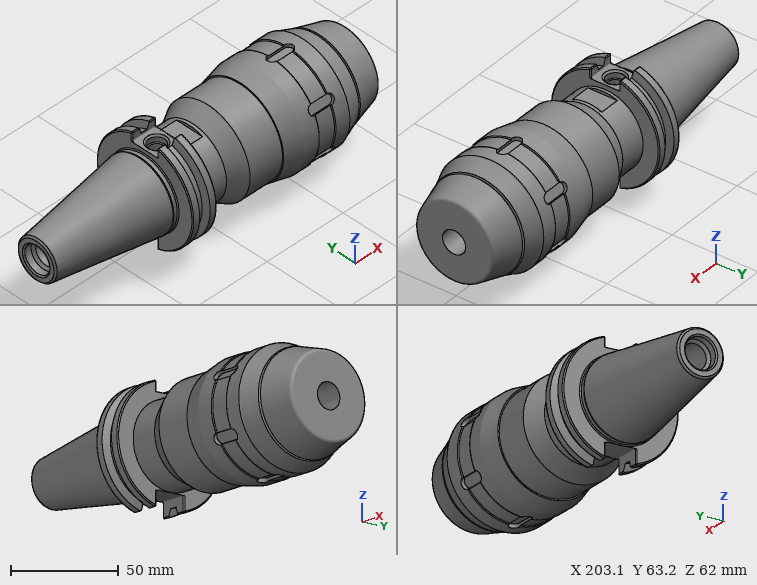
import cadquery as cq
import math

LENGTH = 203.1

TAPER_END_DIAMETER = 25.4
TAPER_END_CHAMFER = 1.0
GAUGE_DIAMETER = 44.5
GAUGE_X = 67.6
RELIEF_DIAMETER = 43.9
RELIEF_CHAMFER = 0.8
RELIEF_FLARE = 0.6

FLANGE_DIAMETER = 63.2
FLANGE_START = 71.3
FLANGE_WIDTH = 15.8
FLANGE_CHAMFER = 0.6
GROOVE_ROOT_DIAMETER = 55.9
GROOVE_ROOT_WIDTH = 3.7
GROOVE_MOUTH_WIDTH = 7.0
FLANGE_END = FLANGE_START + FLANGE_WIDTH
FLANGE_MIDDLE = FLANGE_START + FLANGE_WIDTH / 2

DRIVE_SLOT_WIDTH = 16.5
UPPER_FLOOR_Z = 24.8
LOWER_FLOOR_Z = -22.3
SLOT_FLOOR_FILLET = 0.6

HOLE_COUNTERSINK_DIAMETER = 12.2
HOLE_THREAD_DIAMETER = 10.2
HOLE_THREAD_DEPTH = 4.0
HOLE_DRILL_DIAMETER = 8.0
HOLE_DRILL_DEPTH = 10.2
DRILL_TIP_ANGLE = 118

NECK_DIAMETER = 44.5
NECK_END = 102.8
FLAT_START = 89.0
FLAT_LENGTH = 11.8
FLAT_Z = 20.5

BODY_DIAMETER = 55.5
BODY_START = 112.7
BODY_END = 134.0
SHOULDER_DIAMETER = 56.9

NUT_DIAMETER = 62.0
NUT_START = 145.6
BAND_DIAMETER = 61.0
BAND_START = 155.0
BAND_END = 166.0
NUT_END = 175.0
NUT_EDGE_LENGTH = 0.6
NUT_EDGE_DEPTH = 0.5

NOSE_GROOVE_START = 184.8
NOSE_GROOVE_WIDTH = 1.2
NOSE_GROOVE_DIAMETER = 48.3
NOSE_GROOVE_MOUTH_DIAMETER = 54.5
NOSE_START_DIAMETER = 53.8
NOSE_END_DIAMETER = 44.5
NOSE_FILLET = 1.8

SPANNER_SLOT_COUNT = 6
SPANNER_SLOT_LENGTH = 16.5
SPANNER_SLOT_WIDTH = 5.7
SPANNER_SLOT_FLOOR = 28.8
SPANNER_SLOT_MIDDLE = (BAND_START + BAND_END) / 2

BORE_DIAMETER = 13.5
COUNTERBORE_DIAMETER = 16.5
COUNTERBORE_END = 4.9
BORE_MOUTH_DIAMETER = 18.0


def revolve_profile(points):
    """Solid of revolution about X from (x, diameter) points, closed along the axis."""
    outline = [(x, diameter / 2) for x, diameter in points]
    outline = [(points[0][0], 0)] + outline + [(points[-1][0], 0)]
    return cq.Workplane("XY").polyline(outline).close().revolve(360, (0, 0, 0), (1, 0, 0))


def make_shank():
    return revolve_profile([
        (0, TAPER_END_DIAMETER - 2 * TAPER_END_CHAMFER),
        (TAPER_END_CHAMFER, TAPER_END_DIAMETER),
        (GAUGE_X, GAUGE_DIAMETER),
        (GAUGE_X + RELIEF_CHAMFER, RELIEF_DIAMETER),
        (FLANGE_START - RELIEF_FLARE, RELIEF_DIAMETER),
        (FLANGE_START, RELIEF_DIAMETER + 2 * RELIEF_FLARE),
    ])


def cut_drive_slot(flange, floor_z):
    """Cut one drive slot outward from its flat floor."""
    height = math.copysign(FLANGE_DIAMETER, floor_z)
    slot = (
        cq.Workplane("XY", origin=(FLANGE_MIDDLE, 0, floor_z))
        .rect(FLANGE_WIDTH, DRIVE_SLOT_WIDTH)
        .extrude(height)
    )
    return flange.cut(slot)


def make_flange():
    flange = revolve_profile([(FLANGE_START, FLANGE_DIAMETER), (FLANGE_END, FLANGE_DIAMETER)])
    for floor_z in (UPPER_FLOOR_Z, LOWER_FLOOR_Z):
        flange = cut_drive_slot(flange, floor_z)
    rim = flange.faces("%CYLINDER").faces(cq.selectors.AreaNthSelector(-1))
    wall_ends = flange.edges("|Z")
    flange = rim.edges().add(wall_ends).chamfer(FLANGE_CHAMFER)
    flange = flange.faces("|Z").edges("not |Y").fillet(SLOT_FLOOR_FILLET)
    half_root = GROOVE_ROOT_WIDTH / 2
    half_mouth = GROOVE_MOUTH_WIDTH / 2
    groove = (
        cq.Workplane("XY")
        .polyline([
            (FLANGE_MIDDLE - half_root, GROOVE_ROOT_DIAMETER / 2),
            (FLANGE_MIDDLE - half_mouth, FLANGE_DIAMETER / 2),
            (FLANGE_MIDDLE - half_mouth, FLANGE_DIAMETER),
            (FLANGE_MIDDLE + half_mouth, FLANGE_DIAMETER),
            (FLANGE_MIDDLE + half_mouth, FLANGE_DIAMETER / 2),
            (FLANGE_MIDDLE + half_root, GROOVE_ROOT_DIAMETER / 2),
        ])
        .close()
        .revolve(360, (0, 0, 0), (1, 0, 0))
    )
    return flange.cut(groove)


def make_chuck():
    """Neck, chuck body, clamping nut and nose."""
    band_depth = (NUT_DIAMETER - BAND_DIAMETER) / 2
    groove_end = NOSE_GROOVE_START + NOSE_GROOVE_WIDTH
    chuck = revolve_profile([
        (FLANGE_START, NECK_DIAMETER),
        (NECK_END, NECK_DIAMETER),
        (BODY_START, BODY_DIAMETER),
        (BODY_END, BODY_DIAMETER),
        (BODY_END, SHOULDER_DIAMETER),
        (NUT_START, NUT_DIAMETER),
        (BAND_START, NUT_DIAMETER),
        (BAND_START + band_depth, BAND_DIAMETER),
        (BAND_END - band_depth, BAND_DIAMETER),
        (BAND_END, NUT_DIAMETER),
        (NUT_END, NUT_DIAMETER),
        (NUT_END + NUT_EDGE_LENGTH, NUT_DIAMETER - 2 * NUT_EDGE_DEPTH),
        (NOSE_GROOVE_START, NOSE_GROOVE_MOUTH_DIAMETER),
        (NOSE_GROOVE_START, NOSE_GROOVE_DIAMETER),
        (groove_end, NOSE_GROOVE_DIAMETER),
        (groove_end, NOSE_START_DIAMETER),
        (LENGTH, NOSE_END_DIAMETER),
    ])
    return chuck.faces(">X").edges().fillet(NOSE_FILLET)


def make_flat_cutter():
    return (
        cq.Workplane("XY", origin=(FLAT_START, 0, FLAT_Z))
        .box(FLAT_LENGTH, NECK_DIAMETER, NECK_DIAMETER, centered=(False, True, False))
    )


def make_spanner_slot(angle):
    """Round-ended slot cutter, turned about X from the top of the nut."""
    return (
        cq.Workplane("XY", origin=(SPANNER_SLOT_MIDDLE, 0, SPANNER_SLOT_FLOOR))
        .slot2D(SPANNER_SLOT_LENGTH, SPANNER_SLOT_WIDTH)
        .extrude(NUT_DIAMETER / 2)
        .rotate((0, 0, 0), (1, 0, 0), angle)
    )


def make_drive_slot_hole():
    countersink_depth = (HOLE_COUNTERSINK_DIAMETER - HOLE_THREAD_DIAMETER) / 2
    drill_radius = HOLE_DRILL_DIAMETER / 2
    tip_length = drill_radius / math.tan(math.radians(DRILL_TIP_ANGLE / 2))
    return (
        cq.Workplane("XZ", origin=(FLANGE_MIDDLE, 0, UPPER_FLOOR_Z))
        .polyline([
            (0, 0),
            (HOLE_COUNTERSINK_DIAMETER / 2, 0),
            (HOLE_THREAD_DIAMETER / 2, -countersink_depth),
            (HOLE_THREAD_DIAMETER / 2, -HOLE_THREAD_DEPTH),
            (drill_radius, -HOLE_THREAD_DEPTH),
            (drill_radius, -HOLE_DRILL_DEPTH),
            (0, -HOLE_DRILL_DEPTH - tip_length),
        ])
        .close()
        .revolve(360, (0, 0, 0), (0, 1, 0))
    )


def make_bore():
    mouth_depth = (BORE_MOUTH_DIAMETER - COUNTERBORE_DIAMETER) / 2
    bore_start = COUNTERBORE_END + (COUNTERBORE_DIAMETER - BORE_DIAMETER) / 2
    return revolve_profile([
        (0, BORE_MOUTH_DIAMETER),
        (mouth_depth, COUNTERBORE_DIAMETER),
        (COUNTERBORE_END, COUNTERBORE_DIAMETER),
        (bore_start, BORE_DIAMETER),
        (LENGTH, BORE_DIAMETER),
    ])


result = make_shank().union(make_flange()).union(make_chuck())
result = result.cut(make_flat_cutter())
for index in range(SPANNER_SLOT_COUNT):
    result = result.cut(make_spanner_slot(index * 360 / SPANNER_SLOT_COUNT))
result = result.cut(make_drive_slot_hole())
result = result.cut(make_bore())